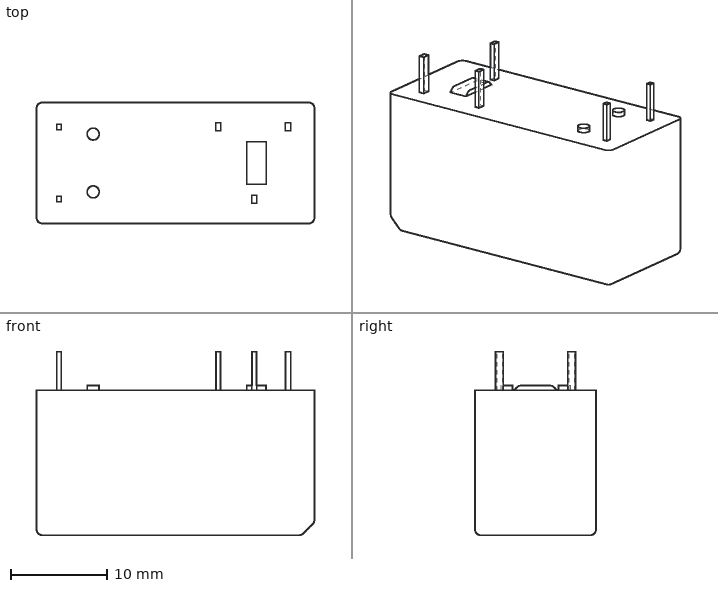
import cadquery as cq

case_length = 28.9
case_width = 12.6
total_height = 19.1
pin_height = 4.02
case_height = total_height - pin_height
edge_radius = 0.65
corner_chamfer = 1.35

pin_row_y = 3.75
thin_pin = 0.5
wide_pin = 0.58
contact_pin_depth = 0.85
coil_pin_x = -12.1
pins = [
    (coil_pin_x, pin_row_y, thin_pin, wide_pin),
    (coil_pin_x, -pin_row_y, thin_pin, wide_pin),
    (4.45, pin_row_y, thin_pin, contact_pin_depth),
    (8.18, -pin_row_y, thin_pin, contact_pin_depth),
    (11.7, pin_row_y, wide_pin, contact_pin_depth),
]

standoff_height = 0.5
standoff_diameter = 1.25
standoff_x = -8.55
standoff_y = 3.0
pad_x = 8.4
pad_width = 2.02
pad_length = 4.45
pad_edge_radius = 0.5


def make_case():
    """Block with one chamfered lower end, rounded on every edge except around the top face."""
    block = cq.Workplane("XY").box(
        case_length, case_width, case_height, centered=(True, True, False)
    ).translate((0, 0, -case_height))
    block = block.faces("<Z").edges(">X").chamfer(corner_chamfer)
    return block.edges("not >Z").fillet(edge_radius)


def make_pin(x, y, size_x, size_y):
    return cq.Workplane("XY").center(x, y).rect(size_x, size_y).extrude(pin_height)


def make_standoffs():
    return (
        cq.Workplane("XY")
        .pushPoints([(standoff_x, standoff_y), (standoff_x, -standoff_y)])
        .circle(standoff_diameter / 2)
        .extrude(standoff_height)
    )


def make_pad():
    """Low pad with 45 degree ends that round over into its flat top."""
    half_base = pad_length / 2
    half_top = half_base - standoff_height
    profile = [
        (-half_base, 0),
        (half_base, 0),
        (half_top, standoff_height),
        (-half_top, standoff_height),
    ]
    pad = cq.Workplane("YZ").polyline(profile).close().extrude(pad_width / 2, both=True)
    pad = pad.faces(">Z").edges("|X").fillet(pad_edge_radius)
    return pad.translate((pad_x, 0, 0))


result = make_case().union(make_standoffs()).union(make_pad())
for pin in pins:
    result = result.union(make_pin(*pin))